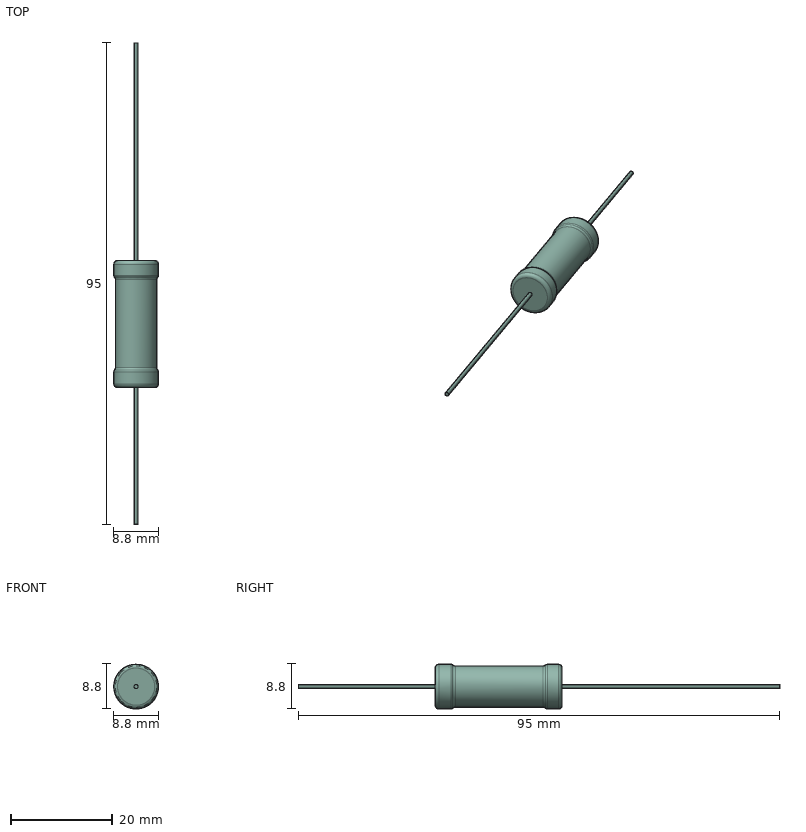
import cadquery as cq
import math

total_length = 95.0
front_lead_length = 27.0
body_length = 25.1
lead_diameter = 0.8
barrel_diameter = 8.2
collar_diameter = 8.8
front_collar_length = 3.1
rear_collar_length = 2.9
end_fillet = 0.75
shoulder_radius = 0.5
neck_radius = 0.75

front_tip = -total_length / 2
rear_tip = total_length / 2
body_front = front_tip + front_lead_length
body_rear = body_front + body_length
barrel_radius = barrel_diameter / 2
collar_radius = collar_diameter / 2
step_height = collar_radius - barrel_radius
blend_angle = math.acos(1 - step_height / (shoulder_radius + neck_radius))
blend_length = (shoulder_radius + neck_radius) * math.sin(blend_angle)


def rise(radius, angle):
    """Radial height of an arc that leaves an axial tangent and turns by angle."""
    return radius * (1 - math.cos(angle))


def collar_points(end, direction, collar_length):
    """Points along one collar outline, from the end face inward to the barrel."""
    fillet_middle = end_fillet * math.sin(math.pi / 4)
    face_radius = collar_radius - end_fillet
    shoulder = collar_length
    neck = collar_length + blend_length
    outline = [
        (face_radius, 0),
        (face_radius + fillet_middle, end_fillet - fillet_middle),
        (collar_radius, end_fillet),
        (collar_radius, shoulder),
        (
            collar_radius - rise(shoulder_radius, blend_angle / 2),
            shoulder + shoulder_radius * math.sin(blend_angle / 2),
        ),
        (
            collar_radius - rise(shoulder_radius, blend_angle),
            shoulder + shoulder_radius * math.sin(blend_angle),
        ),
        (
            barrel_radius + rise(neck_radius, blend_angle / 2),
            neck - neck_radius * math.sin(blend_angle / 2),
        ),
        (barrel_radius, neck),
    ]
    return [(radius, end + direction * depth) for radius, depth in outline]


def make_body():
    """Barrel with a rounded collar at each end, turned about Y."""
    (front_face, front_fillet, front_rim, front_shoulder,
     front_shoulder_middle, front_inflection, front_neck_middle,
     front_neck) = collar_points(body_front, 1, front_collar_length)
    (rear_face, rear_fillet, rear_rim, rear_shoulder,
     rear_shoulder_middle, rear_inflection, rear_neck_middle,
     rear_neck) = collar_points(body_rear, -1, rear_collar_length)
    return (
        cq.Workplane("XY")
        .moveTo(0, body_front)
        .lineTo(*front_face)
        .threePointArc(front_fillet, front_rim)
        .lineTo(*front_shoulder)
        .threePointArc(front_shoulder_middle, front_inflection)
        .threePointArc(front_neck_middle, front_neck)
        .lineTo(*rear_neck)
        .threePointArc(rear_neck_middle, rear_inflection)
        .threePointArc(rear_shoulder_middle, rear_shoulder)
        .lineTo(*rear_rim)
        .threePointArc(rear_fillet, rear_face)
        .lineTo(0, body_rear)
        .close()
        .revolve(360, (0, 0, 0), (0, 1, 0))
    )


def make_lead(start, end):
    """Round wire along Y that butts against an end face of the body."""
    lead_radius = lead_diameter / 2
    return cq.Solid.makeCylinder(
        lead_radius, end - start, cq.Vector(0, start, 0), cq.Vector(0, 1, 0)
    )


body = make_body()
lead_spans = [(front_tip, body_front), (body_rear, rear_tip)]
leads = [make_lead(start, end) for start, end in lead_spans]

result = cq.Compound.makeCompound([body.val(), *leads])